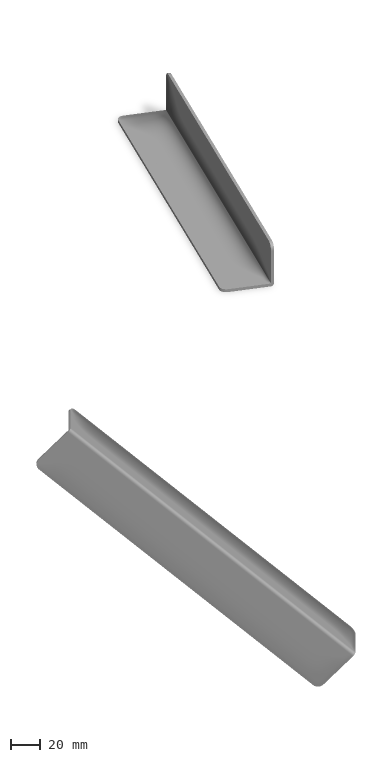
import cadquery as cq

length = 260.0
depth = 37.2
height = 32.2

thickness = 2.2
inner_bend_radius = 0.2
outer_bend_radius = inner_bend_radius + thickness
corner_radius = 5.0

slot_width = 7.0
slot_angle = 90.0

upright_slot_length = 14.0
upright_slot_offsets = [16.0, 46.0, 86.0, 116.0]
upright_slot_to_top_edge = 11.7

base_slot_length = 25.0
base_slot_offsets = [16.0, 74.0, 117.0]
base_slot_to_front_edge = 16.7

upright_slot_z = height - upright_slot_to_top_edge
base_slot_y = -depth + base_slot_to_front_edge


def bent_sheet():
    """L-shaped sheet along X, bent along the bottom edge of the upright flange."""
    profile = (
        cq.Workplane("YZ")
        .moveTo(0, height)
        .lineTo(-thickness, height)
        .lineTo(-thickness, thickness)
        .lineTo(-depth, thickness)
        .lineTo(-depth, 0)
        .lineTo(0, 0)
        .close()
    )
    sheet = profile.extrude(length / 2, both=True)
    inner_edge = cq.selectors.NearestToPointSelector((0, -thickness, thickness))
    outer_edge = cq.selectors.NearestToPointSelector((0, 0, 0))
    sheet = sheet.edges("|X").edges(inner_edge).fillet(inner_bend_radius)
    return sheet.edges("|X").edges(outer_edge).fillet(outer_bend_radius)


def round_free_corners(sheet):
    """Round the two outer corners of each flange."""
    sheet = sheet.faces(">Z").edges("|Y").fillet(corner_radius)
    return sheet.faces("<Y").edges("|Z").fillet(corner_radius)


def mirrored_points(offsets, across):
    """Points at plus and minus each offset along the length."""
    return [(side * offset, across) for offset in offsets for side in (-1, 1)]


def slot_pads(plane, points, slot_length):
    """Slot-shaped pads running across the length, as thick as the sheet."""
    return (
        cq.Workplane(plane)
        .pushPoints(points)
        .slot2D(slot_length, slot_width, slot_angle)
        .extrude(thickness)
    )


def mark_slots(sheet, pads):
    """Keep the slots filled and flush, leaving only their outlines on the flange faces."""
    return sheet.cut(pads).union(pads, clean=False)


upright_points = mirrored_points(upright_slot_offsets, upright_slot_z)
base_points = mirrored_points(base_slot_offsets, base_slot_y)

upright_pads = slot_pads("XZ", upright_points, upright_slot_length)
base_pads = slot_pads("XY", base_points, base_slot_length)

bracket = round_free_corners(bent_sheet())
result = mark_slots(bracket, upright_pads.union(base_pads)).solids()